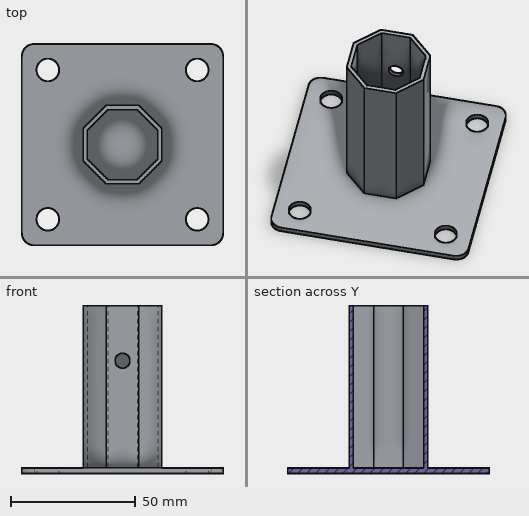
import cadquery as cq
import math

plate_side = 81.0
plate_thickness = 2.35
corner_radius = 5.0
mount_hole_diameter = 9.0
mount_hole_spacing = 60.0

total_height = 67.5
socket_across_flats = 31.6
socket_wall = 1.7
socket_height = total_height - plate_thickness

pin_hole_diameter = 6.0
pin_hole_height = 45.4


def octagon_prism(across_flats, height):
    """Octagonal prism on the plate's top face, with flats facing X and Y."""
    sides = 8
    half_angle = 180 / sides
    across_corners = across_flats / math.cos(math.radians(half_angle))
    return (
        cq.Workplane("XY")
        .workplane(offset=plate_thickness)
        .transformed(rotate=(0, 0, half_angle))
        .polygon(sides, across_corners)
        .extrude(height)
    )


plate = (
    cq.Workplane("XY")
    .rect(plate_side, plate_side)
    .extrude(plate_thickness)
    .edges("|Z")
    .fillet(corner_radius)
    .faces(">Z")
    .workplane()
    .rect(mount_hole_spacing, mount_hole_spacing, forConstruction=True)
    .vertices()
    .hole(mount_hole_diameter)
)

socket_bore = octagon_prism(socket_across_flats - 2 * socket_wall, socket_height)
socket = octagon_prism(socket_across_flats, socket_height).cut(socket_bore)

pin_hole = (
    cq.Workplane("XZ")
    .center(0, pin_hole_height)
    .circle(pin_hole_diameter / 2)
    .extrude(socket_across_flats)
)

result = plate.union(socket.cut(pin_hole))